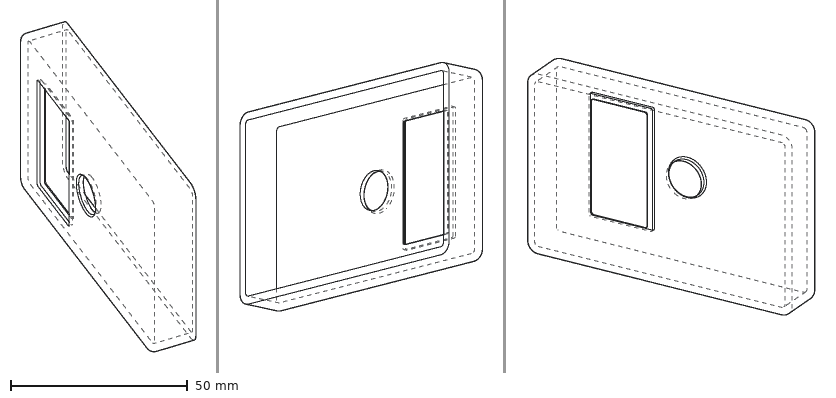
import cadquery as cq

width = 87.4
depth = 14.0
height = 56.0
corner_radius = 3.5
face_edge_radius = 2.0
side_wall = 2.4
face_wall = 2.0

window_x = -20.7
recess_width = 21.1
recess_height = 38.3
recess_depth = 1.0
window_width = 18.4
window_height = 36.0
window_corner_radius = 0.7
bevel_depth = 0.7

hole_x = 0.7
hole_diameter = 11.5
hole_chamfer = 0.5

face_y = -depth / 2
back_y = depth / 2


def rounded_block(size_x, size_z, radius, front_y, rear_y):
    """Block spanning front_y to rear_y whose four edges along Y are rounded."""
    length = rear_y - front_y
    return (
        cq.Workplane("XY")
        .box(size_x, length, size_z)
        .edges("|Y")
        .fillet(radius)
        .translate((0, (front_y + rear_y) / 2, 0))
    )


def shell_body():
    outer = rounded_block(width, height, corner_radius, face_y, back_y)
    outer = outer.faces("<Y").edges().fillet(face_edge_radius)
    cavity = rounded_block(
        width - 2 * side_wall, height - 2 * side_wall, corner_radius - side_wall, face_y + face_wall, back_y
    )
    return outer.cut(cavity)


def window_profile(size_x, size_z, y):
    """Rounded rectangle parallel to the face, ready for lofting, at the given Y."""
    profile = cq.Sketch().rect(size_x, size_z).vertices().fillet(window_corner_radius)
    return profile.moved(cq.Location(cq.Vector(0, 0, -y)))


def window_cutter():
    bevel_front_y = face_y + recess_depth
    bevel_rear_y = bevel_front_y + bevel_depth
    recess = rounded_block(recess_width, recess_height, window_corner_radius, face_y, bevel_front_y)
    opening = rounded_block(window_width, window_height, window_corner_radius, face_y, face_y + face_wall)
    bevel = (
        cq.Workplane("XZ")
        .placeSketch(
            window_profile(recess_width, recess_height, bevel_front_y),
            window_profile(window_width, window_height, bevel_rear_y),
        )
        .loft(ruled=True)
    )
    return recess.union(bevel).union(opening).translate((window_x, 0, 0))


def hole_cutter():
    radius = hole_diameter / 2
    return (
        cq.Workplane("XY")
        .moveTo(0, face_y)
        .lineTo(radius + hole_chamfer, face_y)
        .lineTo(radius, face_y + hole_chamfer)
        .lineTo(radius, face_y + face_wall)
        .lineTo(0, face_y + face_wall)
        .close()
        .revolve(360, (0, 0, 0), (0, 1, 0))
        .translate((hole_x, 0, 0))
    )


result = shell_body().cut(window_cutter()).cut(hole_cutter())